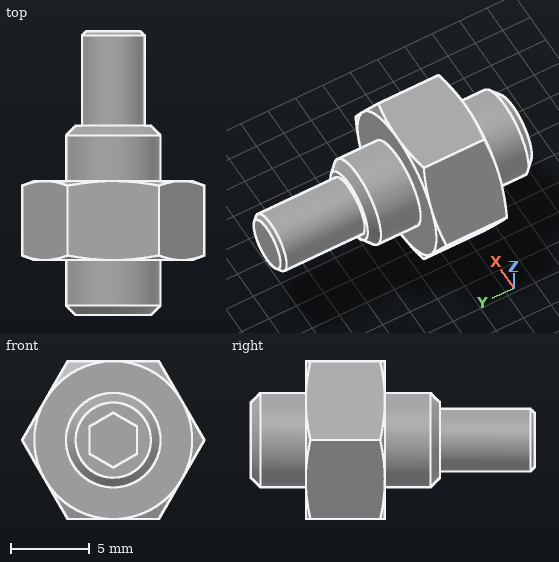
import cadquery as cq
import math

total_length = 18.0
dog_length = 6.0
body_length = total_length - dog_length
body_diameter = 6.0
body_chamfer = 0.61
dog_diameter = 4.0
dog_chamfer = 0.29
socket_across_flats = 3.0
socket_depth = 3.6

nut_across_flats = 10.0
nut_thickness = 5.0
nut_start = 3.5
nut_corner_drop = 0.29

HEX_SIDES = 6


def corner_diameter(across_flats):
    """Circumscribed diameter of a regular hexagon."""
    return across_flats / math.cos(math.pi / HEX_SIDES)


def cross_section(y):
    """Workplane at the given Y whose normal points along +Y."""
    return cq.Workplane(cq.Plane(origin=(0, y, 0), xDir=(1, 0, 0), normal=(0, 1, 0)))


def make_screw():
    """Chamfered cylinder with a dog point and a hexagon socket."""
    body = cross_section(0).circle(body_diameter / 2).extrude(body_length)
    body = body.edges().chamfer(body_chamfer)
    dog = cross_section(body_length).circle(dog_diameter / 2).extrude(dog_length)
    dog = dog.faces(">Y").edges().chamfer(dog_chamfer)
    socket = (
        cross_section(0)
        .polygon(HEX_SIDES, corner_diameter(socket_across_flats))
        .extrude(socket_depth)
        .rotate((0, 0, 0), (0, 1, 0), 180 / HEX_SIDES)
    )
    return body.union(dog).cut(socket)


def make_nut():
    """Hexagon with corners on +X and -X, conical ends and a plain bore."""
    nut_end = nut_start + nut_thickness
    flat_radius = nut_across_flats / 2
    corner_radius = corner_diameter(nut_across_flats) / 2
    hexagon = (
        cross_section(nut_start)
        .polygon(HEX_SIDES, 2 * corner_radius)
        .extrude(nut_thickness)
    )
    envelope = (
        cq.Workplane("XY")
        .polyline([
            (0, nut_start),
            (flat_radius, nut_start),
            (corner_radius, nut_start + nut_corner_drop),
            (corner_radius, nut_end - nut_corner_drop),
            (flat_radius, nut_end),
            (0, nut_end),
        ])
        .close()
        .revolve(360, (0, 0, 0), (0, 1, 0))
    )
    bore = cross_section(nut_start).circle(body_diameter / 2).extrude(nut_thickness)
    return hexagon.intersect(envelope).cut(bore)


screw = make_screw()
nut = make_nut()
result = cq.Compound.makeCompound([screw.val(), nut.val()])